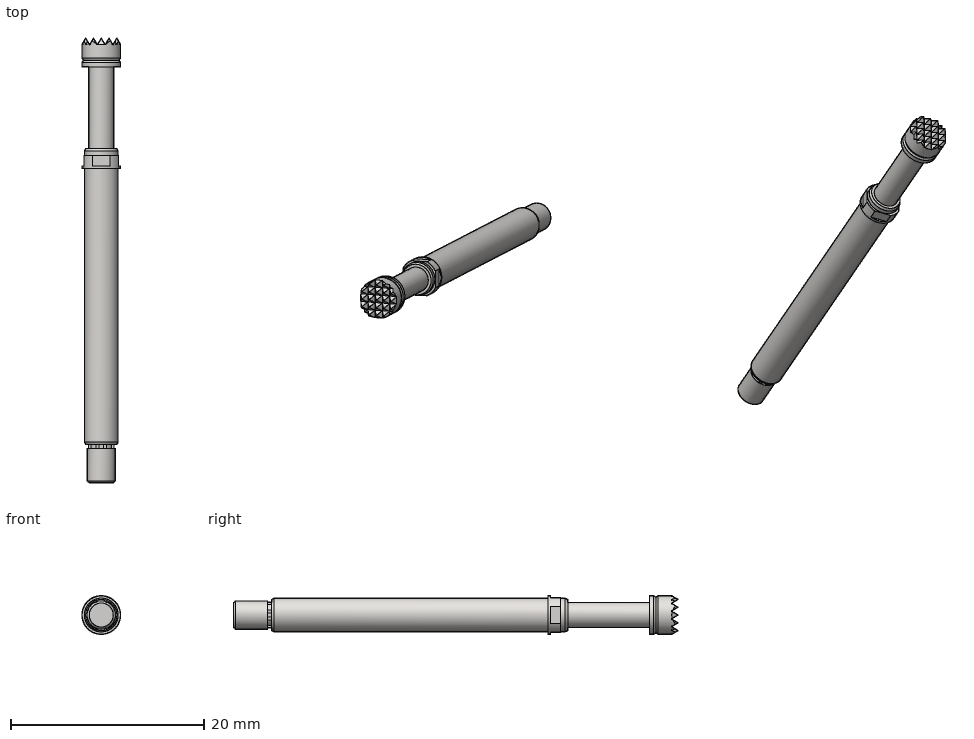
import cadquery as cq

total_length = 46.1

head_diameter = 4.0
head_radius = head_diameter / 2
head_groove_depth = 0.15
plunger_diameter = 2.65
plunger_radius = plunger_diameter / 2
barrel_radius = 1.75
collar_radius = head_radius
neck_radius = 1.2
tail_radius = 1.48

neck_start = 3.55
barrel_start = 3.95
collar_start = 32.6
flat_start = 32.85
collar_end = 33.95
barrel_end = 34.65
head_start = 43.1
head_groove_start = 43.55
head_groove_end = 44.03

tail_chamfer = 0.25
barrel_chamfer_length = 0.28
barrel_chamfer_depth = 0.15
barrel_end_radius = barrel_radius - barrel_chamfer_depth

flat_distance = 1.8

tooth_rows = 5
tooth_span = 3.25
tooth_pitch = tooth_span / (tooth_rows - 1)
tooth_height = 0.7
first_groove = -(tooth_span + tooth_pitch) / 2

rib_width = 0.3
rib_spacing = 0.75
rib_tip_height = 1.35

quarter_turns = (0, 90, 180, 270)


def make_turned_body():
    """Revolve the half profile of the whole probe about the Y axis."""
    outline = cq.Workplane("XY").moveTo(0, 0).lineTo(tail_radius - tail_chamfer, 0)
    outline = outline.lineTo(tail_radius, tail_chamfer)
    outline = outline.lineTo(tail_radius, neck_start)
    outline = outline.lineTo(neck_radius, neck_start).lineTo(neck_radius, barrel_start)
    outline = outline.lineTo(barrel_end_radius, barrel_start)
    outline = outline.lineTo(barrel_radius, barrel_start + barrel_chamfer_length)
    outline = outline.lineTo(barrel_radius, collar_start).lineTo(collar_radius, collar_start)
    outline = outline.lineTo(collar_radius, collar_end).lineTo(barrel_radius, collar_end)
    outline = outline.lineTo(barrel_radius, barrel_end - barrel_chamfer_length)
    outline = outline.lineTo(barrel_end_radius, barrel_end)
    outline = outline.lineTo(plunger_radius, barrel_end).lineTo(plunger_radius, head_start)
    outline = outline.lineTo(head_radius, head_start).lineTo(head_radius, head_groove_start)
    groove_middle = (head_groove_start + head_groove_end) / 2
    outline = outline.lineTo(head_radius - head_groove_depth, groove_middle)
    outline = outline.lineTo(head_radius, head_groove_end)
    outline = outline.lineTo(head_radius, total_length).lineTo(0, total_length).close()
    return outline.revolve(360, (0, 0, 0), (0, 1, 0))


def make_flat_cutter():
    """Block that mills one flat on the +Z side of the collar."""
    depth = collar_radius - flat_distance
    length = collar_end - flat_start
    return (
        cq.Workplane("XY")
        .box(2 * collar_radius, length, depth, centered=(True, False, False))
        .translate((0, flat_start, flat_distance))
    )


def make_neck_rib(x_position):
    """Short rib on the +Z side of the neck."""
    length = barrel_start - neck_start
    return (
        cq.Workplane("XY")
        .box(rib_width, length, rib_tip_height, centered=(True, False, False))
        .translate((x_position, neck_start, 0))
    )


def make_tooth_groove(x_position):
    """V-groove running along Z across the head face."""
    half_pitch = tooth_pitch / 2
    return (
        cq.Workplane("XY")
        .moveTo(x_position - half_pitch, total_length)
        .lineTo(x_position, total_length - tooth_height)
        .lineTo(x_position + half_pitch, total_length)
        .close()
        .extrude(head_radius, both=True)
    )


def turn(shape, angle):
    """Turn a shape about the probe axis."""
    return shape.rotate((0, 0, 0), (0, 1, 0), angle)


result = make_turned_body()

for angle in quarter_turns:
    result = result.cut(turn(make_flat_cutter(), angle))
    for side in (-1, 1):
        result = result.union(turn(make_neck_rib(side * rib_spacing / 2), angle))

for index in range(tooth_rows + 1):
    groove = make_tooth_groove(first_groove + index * tooth_pitch)
    result = result.cut(groove).cut(turn(groove, 90))